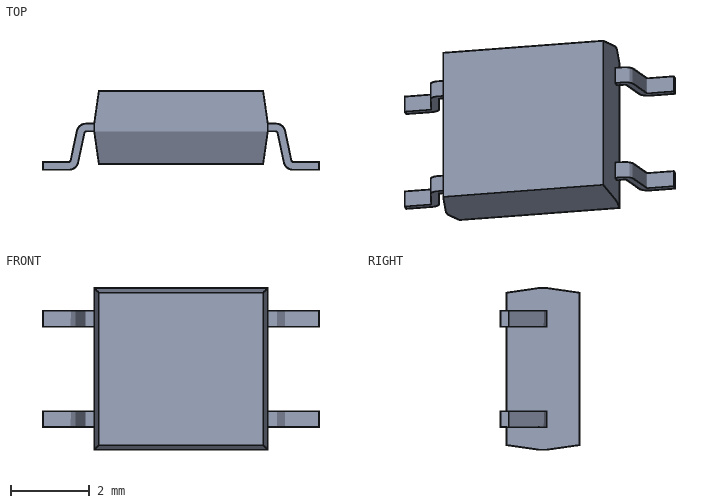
import cadquery as cq
import math

span_x = 7.0
depth_y = 2.0

housing_x = 4.4
housing_y = 1.855
housing_z = 4.1
draft_inset = 0.12

lead_thickness = 0.2
lead_width = 0.405
lead_pitch = 2.54
foot_length = 0.69
shank_lean = 12.0
inner_radius = 0.04
outer_radius = inner_radius + lead_thickness

foot_bottom = -depth_y / 2
foot_top = foot_bottom + lead_thickness
housing_back = depth_y / 2
housing_front = housing_back - housing_y
band_front = (housing_front + housing_back - lead_thickness) / 2
band_back = band_front + lead_thickness


def xz_plane(y):
    """Plane at level y, facing +Y, with its local X along global X."""
    return cq.Plane(origin=(0, y, 0), xDir=(1, 0, 0), normal=(0, 1, 0))


def tapered_half(band_y, end_y):
    """Half of the housing that narrows from the band to a smaller end face."""
    return (
        cq.Workplane(xz_plane(band_y))
        .rect(housing_x, housing_z)
        .workplane(offset=end_y - band_y)
        .rect(housing_x - 2 * draft_inset, housing_z - 2 * draft_inset)
        .loft(ruled=True)
    )


def make_housing():
    """Straight middle band with a tapered half on each side."""
    band = cq.Workplane(xz_plane(band_front)).rect(housing_x, housing_z).extrude(lead_thickness)
    return band.union(tapered_half(band_front, housing_front)).union(tapered_half(band_back, housing_back))


def make_lead():
    """Gull-wing lead on the -X side, centred on Z = 0."""
    lean = math.radians(shank_lean)
    tip_x = -span_x / 2
    root_x = -housing_x / 2
    corner_shift = lead_thickness * math.tan((math.pi / 2 - lean) / 2)

    lower_inner = (tip_x + foot_length, foot_top)
    lower_outer = (lower_inner[0] + corner_shift, foot_bottom)
    upper_outer = (lower_inner[0] + (band_back - foot_top) * math.tan(lean), band_back)
    upper_inner = (upper_outer[0] + corner_shift, band_front)

    lead = (
        cq.Workplane("XY", origin=(0, 0, -lead_width / 2))
        .moveTo(tip_x, foot_bottom)
        .lineTo(*lower_outer)
        .lineTo(*upper_inner)
        .lineTo(root_x, band_front)
        .lineTo(root_x, band_back)
        .lineTo(*upper_outer)
        .lineTo(*lower_inner)
        .lineTo(tip_x, foot_top)
        .close()
        .extrude(lead_width)
    )
    for corners, radius in (
        ((lower_inner, upper_inner), inner_radius),
        ((lower_outer, upper_outer), outer_radius),
    ):
        for x, y in corners:
            lead = lead.edges(cq.selectors.NearestToPointSelector((x, y, 0))).fillet(radius)
    return lead


housing = make_housing()

left_lead = make_lead()
right_lead = left_lead.mirror("YZ")
leads = []
for lead in (left_lead, right_lead):
    for z in (-lead_pitch / 2, lead_pitch / 2):
        leads.append(lead.translate((0, 0, z)).val())

result = cq.Compound.makeCompound([housing.val(), *leads])